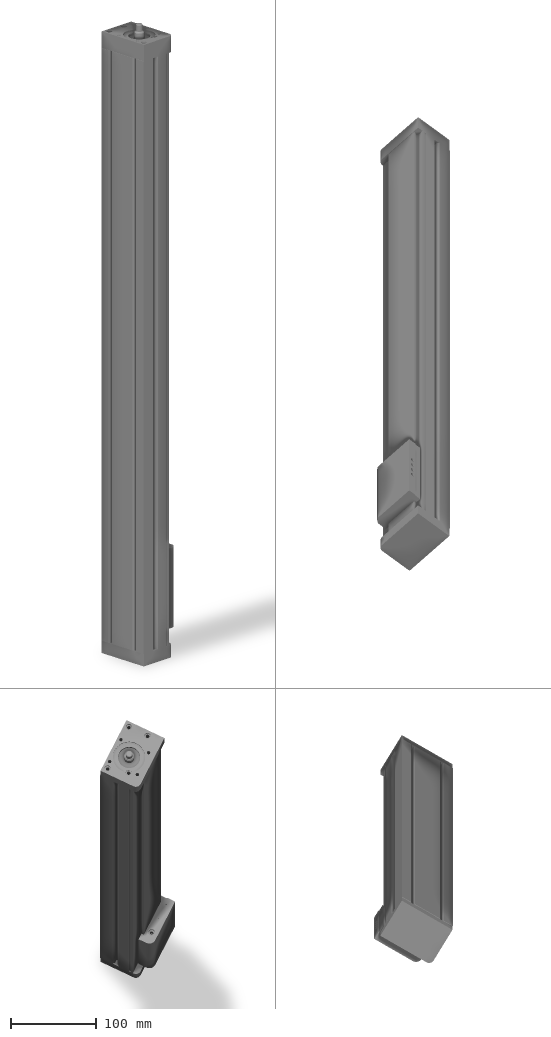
import cadquery as cq

WIDTH = 69.0
LENGTH = 782.0
BLOCK_BACK_Y = 50.0
BLOCK_CORNER_RADIUS = 6.0
BLOCK_FRONT_INSET = 1.0

BOTTOM_BLOCK_TOP = 16.0
TOP_BLOCK_BOTTOM = 748.0
TOP_BLOCK_TOP = 769.0

WALL_TOP_Y = 43.0
WALL_GROOVE_Y = 37.5
RIDGE_TOP_Y = 49.0
RIDGE_INSET = 8.0
RIDGE_RIGHT_X = 52.5
RIDGE_GROOVE_Y = 44.5
GROOVE_WIDTH = 2.0
GROOVE_DEPTH = 1.0
SLOT_DEPTH = 6.0
FRONT_SLOT_WIDTH = 5.5
FRONT_SLOT_CHAMFER = 1.5
FRONT_SLOT_EDGE_DISTANCE = 15.0
SIDE_SLOT_WIDTH = 8.0
SIDE_SLOT_CHAMFER = 2.0
SIDE_SLOT_Y = 20.0

SHAFT_X = 39.0
SHAFT_Y = 23.5
SHAFT_DIAMETER = 8.0
SHAFT_CHAMFER = 1.0
COLLAR_DIAMETER = 12.0
COLLAR_CHAMFER = 1.5
COLLAR_TOP = 773.5
SEAT_DIAMETER = 26.0
SEAT_DEPTH = 5.0
RING_DIAMETER = 37.5
RING_DEPTH = 1.5

SCREW_HEAD_DIAMETER = 7.0
SCREW_HOLE_DIAMETER = 4.15
SCREW_HEAD_DEPTH = 2.0
SCREW_POINTS = [(6.0, 7.0), (62.5, 7.0), (6.0, 31.0), (56.0, 31.0)]
SEAT_HOLE_DIAMETER = 4.0
SEAT_HOLE_DX = 15.0
SEAT_HOLE_DY = 18.0

CARRIAGE_WIDTH = 60.0
CARRIAGE_BACK_Y = 64.0
CARRIAGE_BOTTOM = 32.0
CARRIAGE_HEIGHT = 99.0
CARRIAGE_CORNER_RADIUS = 8.0
LEG_BOTTOM_Y = 46.0
PLATE_Y = 54.0
LEG_INSET = 1.0
SIDE_HOLE_Y = 59.0
SIDE_HOLE_DIAMETER = 5.0
SIDE_HOLE_DEPTH = 5.0
SIDE_HOLE_COUNT = 4
SIDE_HOLE_PITCH = 9.0
FIRST_SIDE_HOLE_Z = 67.0
END_HOLE_Y = 56.0
END_HOLE_X = 46.0
END_HOLE_DIAMETER = 8.0
END_HOLE_DEPTH = 2.0
END_HOLE_CORE_DIAMETER = 4.15
END_HOLE_CORE_DEPTH = 9.0
PIN_HOLE_DIAMETER = 1.1
PIN_HOLE_DEPTH = 5.0
PIN_HOLE_XS = (8.0, 27.0)


def box(x0, x1, y0, y1, z0, z1):
    return cq.Workplane("XY").box(x1 - x0, y1 - y0, z1 - z0, centered=False).translate((x0, y0, z0))


def cylinder(x, y, z0, z1, diameter):
    return cq.Workplane("XY", origin=(x, y, z0)).circle(diameter / 2).extrude(z1 - z0)


def end_block(z0, z1):
    block = box(0, WIDTH, BLOCK_FRONT_INSET, BLOCK_BACK_Y, z0, z1)
    return block.edges("|Z and >X and >Y").fillet(BLOCK_CORNER_RADIUS)


def slot(width, chamfer):
    """Slot cutter with a chamfered mouth, centred on x = 0 and opening at y = 0."""
    half = width / 2
    inner = half - chamfer
    points = [
        (-half, 0),
        (-inner, chamfer),
        (-inner, SLOT_DEPTH),
        (inner, SLOT_DEPTH),
        (inner, chamfer),
        (half, 0),
    ]
    height = TOP_BLOCK_BOTTOM - BOTTOM_BLOCK_TOP
    return cq.Workplane("XY", origin=(0, 0, BOTTOM_BLOCK_TOP)).polyline(points).close().extrude(height)


def grooved_bar(x0, x1, y0, y1, groove_y):
    """Full-length bar with a shallow groove along both of its sides."""
    z0, z1 = BOTTOM_BLOCK_TOP, TOP_BLOCK_BOTTOM
    bar = box(x0, x1, y0, y1, z0, z1)
    for groove_x in (x0, x1 - GROOVE_DEPTH):
        groove = box(groove_x, groove_x + GROOVE_DEPTH, groove_y, groove_y + GROOVE_WIDTH, z0, z1)
        bar = bar.cut(groove)
    return bar


def make_profile():
    body = grooved_bar(0, WIDTH, 0, WALL_TOP_Y, WALL_GROOVE_Y)
    body = body.union(grooved_bar(RIDGE_INSET, RIDGE_RIGHT_X, WALL_TOP_Y, RIDGE_TOP_Y, RIDGE_GROOVE_Y))
    front_slot = slot(FRONT_SLOT_WIDTH, FRONT_SLOT_CHAMFER)
    for x in (FRONT_SLOT_EDGE_DISTANCE, WIDTH - FRONT_SLOT_EDGE_DISTANCE):
        body = body.cut(front_slot.translate((x, 0, 0)))
    side_slot = slot(SIDE_SLOT_WIDTH, SIDE_SLOT_CHAMFER)
    for x, angle in ((0, -90), (WIDTH, 90)):
        turned_slot = side_slot.rotate((0, 0, 0), (0, 0, 1), angle)
        body = body.cut(turned_slot.translate((x, SIDE_SLOT_Y, 0)))
    return body


def make_top_block():
    top = TOP_BLOCK_TOP
    block = end_block(TOP_BLOCK_BOTTOM, top)
    block = block.cut(cylinder(SHAFT_X, SHAFT_Y, top - RING_DEPTH, top, RING_DIAMETER))
    block = block.cut(cylinder(SHAFT_X, SHAFT_Y, top - SEAT_DEPTH, top, SEAT_DIAMETER))
    for x, y in SCREW_POINTS:
        block = block.cut(cylinder(x, y, top - SCREW_HEAD_DEPTH, top, SCREW_HEAD_DIAMETER))
        block = block.cut(cylinder(x, y, TOP_BLOCK_BOTTOM, top, SCREW_HOLE_DIAMETER))
    for sx in (-1, 1):
        for sy in (-1, 1):
            x = SHAFT_X + sx * SEAT_HOLE_DX
            y = SHAFT_Y + sy * SEAT_HOLE_DY
            block = block.cut(cylinder(x, y, TOP_BLOCK_BOTTOM, top, SEAT_HOLE_DIAMETER))
    return block


def make_shaft():
    base = TOP_BLOCK_TOP - SEAT_DEPTH
    shaft = cylinder(SHAFT_X, SHAFT_Y, base, LENGTH, SHAFT_DIAMETER)
    shaft = shaft.faces(">Z").chamfer(SHAFT_CHAMFER)
    collar = cylinder(SHAFT_X, SHAFT_Y, base, COLLAR_TOP, COLLAR_DIAMETER)
    collar = collar.faces(">Z").chamfer(COLLAR_CHAMFER)
    return shaft.union(collar)


def make_carriage():
    z0, z1 = CARRIAGE_BOTTOM, CARRIAGE_BOTTOM + CARRIAGE_HEIGHT
    plate = box(0, CARRIAGE_WIDTH, PLATE_Y, CARRIAGE_BACK_Y, z0, z1)
    plate = plate.edges("|Z and >X and >Y").fillet(CARRIAGE_CORNER_RADIUS)
    carriage = plate.union(box(LEG_INSET, CARRIAGE_WIDTH, LEG_BOTTOM_Y, PLATE_Y, z0, z1))
    carriage = carriage.cut(box(RIDGE_INSET, RIDGE_RIGHT_X, LEG_BOTTOM_Y, RIDGE_TOP_Y, z0, z1))
    for i in range(SIDE_HOLE_COUNT):
        z = FIRST_SIDE_HOLE_Z + i * SIDE_HOLE_PITCH
        hole = cq.Workplane("YZ", origin=(0, SIDE_HOLE_Y, z)).circle(SIDE_HOLE_DIAMETER / 2)
        carriage = carriage.cut(hole.extrude(SIDE_HOLE_DEPTH))
    carriage = carriage.cut(cylinder(END_HOLE_X, END_HOLE_Y, z1 - END_HOLE_DEPTH, z1, END_HOLE_DIAMETER))
    carriage = carriage.cut(
        cylinder(END_HOLE_X, END_HOLE_Y, z1 - END_HOLE_CORE_DEPTH, z1, END_HOLE_CORE_DIAMETER)
    )
    for x in PIN_HOLE_XS:
        carriage = carriage.cut(cylinder(x, END_HOLE_Y, z1 - PIN_HOLE_DEPTH, z1, PIN_HOLE_DIAMETER))
    return carriage


profile = make_profile()
bottom_block = end_block(0, BOTTOM_BLOCK_TOP)
top_block = make_top_block()
shaft = make_shaft()
carriage = make_carriage()

result = cq.Compound.makeCompound(
    [profile.val(), bottom_block.val(), top_block.val(), shaft.val(), carriage.val()]
)